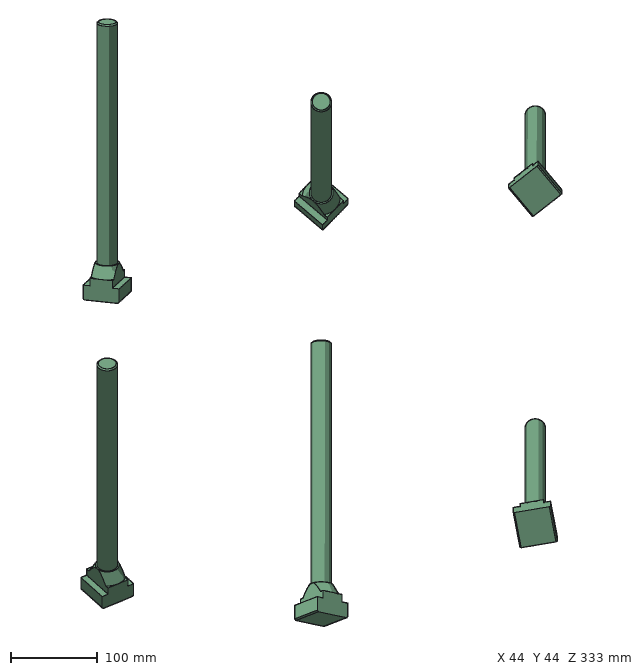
import cadquery as cq

total_height = 333.0
head_width = 44.0
head_height = 18.0
head_chamfer = 1.5
neck_width = 27.5
neck_top = 27.0
shoulder_top = 41.0
shank_diameter = 24.0
tip_chamfer = 1.5


def make_head():
    """Square head with its two bottom edges along Y chamfered."""
    block = cq.Workplane("XY").box(head_width, head_width, head_height, centered=(True, True, False))
    return block.faces("<Z").edges("|Y").chamfer(head_chamfer)


def make_neck():
    """Neck block topped by a cone, with both trimmed flush at the neck width."""
    block = (
        cq.Workplane("XY")
        .workplane(offset=head_height)
        .rect(neck_width, head_width)
        .extrude(neck_top - head_height)
    )
    cone = (
        cq.Workplane("XY")
        .workplane(offset=neck_top)
        .circle(head_width / 2)
        .workplane(offset=shoulder_top - neck_top)
        .circle(neck_width / 2)
        .loft()
    )
    slab = cq.Workplane("XY").box(neck_width, head_width, shoulder_top, centered=(True, True, False))
    return block.union(cone.intersect(slab))


def make_shank():
    """Round shank rising from the shoulder, chamfered at its tip."""
    shank = (
        cq.Workplane("XY")
        .workplane(offset=shoulder_top)
        .circle(shank_diameter / 2)
        .extrude(total_height - shoulder_top)
    )
    return shank.faces(">Z").chamfer(tip_chamfer)


result = make_head().union(make_neck()).union(make_shank())